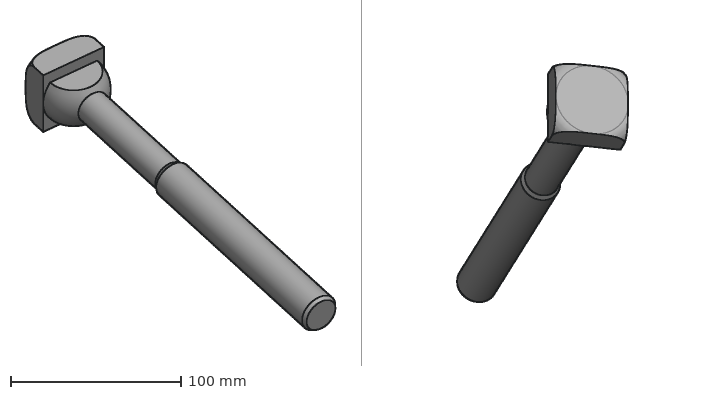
import cadquery as cq
import math

total_length = 268.0
head_width = 44.0

head_thickness = 18.0
corner_round_radius = head_width / 2 * (math.sqrt(2) - 1)
ball_radius = head_width / 2
neck_thickness = 28.0

shank_radius = 10.5
grip_radius = 12.0
grip_start = 115.0
grip_lead_length = 3.2
end_chamfer_length = 2.5
end_chamfer_depth = 1.5


def make_head():
    """Square block whose front corners are rounded outside the inscribed face circle."""
    block = cq.Workplane("YZ").rect(head_width, head_width).extrude(head_thickness)
    face_radius = head_width / 2
    envelope_radius = face_radius + corner_round_radius
    mid_offset = corner_round_radius * math.sqrt(0.5)
    envelope = (
        cq.Workplane("XY")
        .lineTo(0, face_radius)
        .threePointArc(
            (corner_round_radius - mid_offset, face_radius + mid_offset),
            (corner_round_radius, envelope_radius),
        )
        .lineTo(head_thickness, envelope_radius)
        .lineTo(head_thickness, 0)
        .close()
        .revolve(360, (0, 0, 0), (1, 0, 0))
    )
    return block.intersect(envelope)


def make_neck():
    """Half ball centred on the back of the head, with flat top and bottom."""
    ball = cq.Workplane("XY").sphere(ball_radius).translate((head_thickness, 0, 0))
    slab = cq.Workplane("XY").box(
        ball_radius, head_width, neck_thickness, centered=(False, True, True)
    ).translate((head_thickness, 0, 0))
    return ball.intersect(slab)


def make_shank():
    """Thin stem opening through a cone into the thicker, end-chamfered grip."""
    return (
        cq.Workplane("XY")
        .moveTo(head_thickness, 0)
        .lineTo(head_thickness, shank_radius)
        .lineTo(grip_start, shank_radius)
        .lineTo(grip_start + grip_lead_length, grip_radius)
        .lineTo(total_length - end_chamfer_length, grip_radius)
        .lineTo(total_length, grip_radius - end_chamfer_depth)
        .lineTo(total_length, 0)
        .close()
        .revolve(360, (0, 0, 0), (1, 0, 0))
    )


result = make_head().union(make_neck()).union(make_shank())